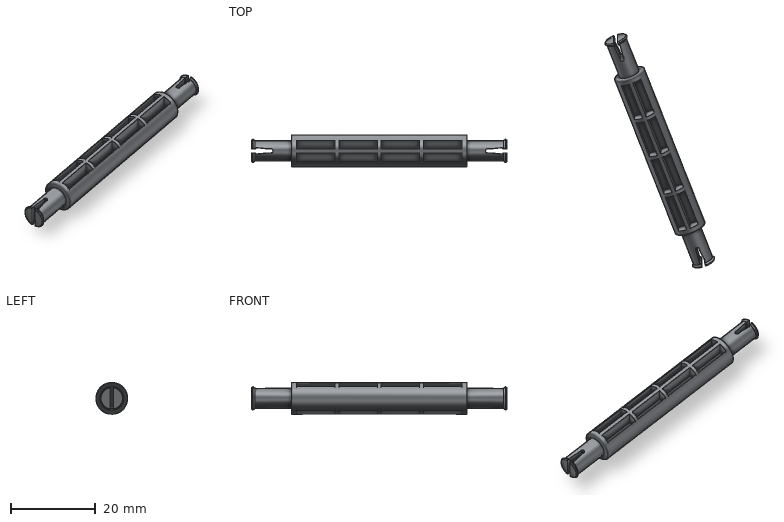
import cadquery as cq

total_length = 60.2
body_length = 41.5
body_radius = 7.5 / 2
body_edge_fillet = 0.2

journal_radius = 4.88 / 2
head_face_radius = 2.55
head_radius = 2.8
head_lead = 0.3
head_length = 0.75

slot_width = 0.9
slot_wide_width = 1.45
slot_length = 5.0
slot_end_fillet = 0.35
slot_step_start = 0.9
slot_step_end = 1.1
slot_taper_end = 3.8

pocket_count = 4
rib_thickness = 0.9
pocket_end_wall = 1.25
pocket_outer_y = 2.45
pocket_span = body_length - 2 * pocket_end_wall
pocket_length = (pocket_span - (pocket_count - 1) * rib_thickness) / pocket_count
pocket_pitch = pocket_length + rib_thickness

half_length = total_length / 2
half_body = body_length / 2


def make_body():
    body = cq.Workplane("YZ", origin=(-half_body, 0, 0)).circle(body_radius).extrude(body_length)
    return body.faces("<X or >X").edges().fillet(body_edge_fillet)


def make_journals():
    """Both journals as one revolved spindle that runs through the body."""
    right_end = [
        (half_length - head_length, journal_radius),
        (half_length - head_lead, head_radius),
        (half_length, head_face_radius),
        (half_length, 0),
    ]
    left_end = [(-x, r) for x, r in reversed(right_end)]
    profile = cq.Workplane("XY").polyline(left_end + right_end).close()
    return profile.revolve(360, (0, 0, 0), (1, 0, 0))


def make_end_slot(side):
    """Slot through Z, open at the end face, stepping wider behind the head and rounded inside."""
    upper_edge = [
        (half_length, slot_width / 2),
        (half_length - slot_step_start, slot_width / 2),
        (half_length - slot_step_end, slot_wide_width / 2),
        (half_length - slot_taper_end, slot_width / 2),
        (half_length - slot_length, slot_width / 2),
    ]
    lower_edge = [(x, -y) for x, y in reversed(upper_edge)]
    outline = [(side * x, y) for x, y in upper_edge + lower_edge]
    slot_profile = cq.Workplane("XY", origin=(0, 0, -body_radius)).polyline(outline).close()
    slot = slot_profile.extrude(2 * body_radius)
    inner_face = "<X" if side > 0 else ">X"
    return slot.faces(inner_face).edges("|Z").fillet(slot_end_fillet)


def make_pockets():
    """Pockets on all four sides of the cross formed by the web and the middle rib."""
    width = pocket_outer_y - rib_thickness / 2
    depth = body_radius - rib_thickness / 2
    centre_y = (pocket_outer_y + rib_thickness / 2) / 2
    centre_z = (body_radius + rib_thickness / 2) / 2
    first_x = -(pocket_count - 1) / 2 * pocket_pitch
    centres = [
        (first_x + i * pocket_pitch, y, z)
        for i in range(pocket_count)
        for y in (-centre_y, centre_y)
        for z in (-centre_z, centre_z)
    ]
    corner = cq.Vector(-pocket_length / 2, -width / 2, -depth / 2)
    pocket = cq.Solid.makeBox(pocket_length, width, depth, corner)
    return cq.Workplane("XY").pushPoints(centres).eachpoint(lambda place: pocket.moved(place))


result = make_body().union(make_journals()).cut(make_pockets())
for side in (-1, 1):
    result = result.cut(make_end_slot(side))